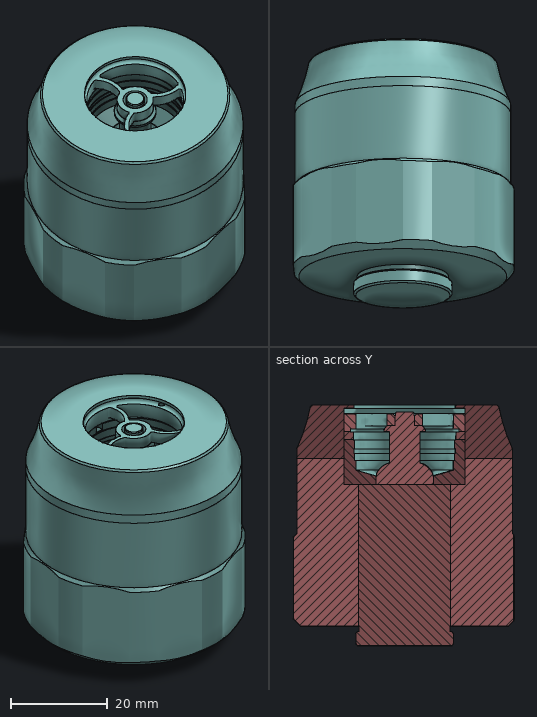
import cadquery as cq
import math

total_height = 49.8
body_radius = 22.35
bore_radius = 12.45
seat_bottom_z = 33.4
cap_bottom_z = 38.8
seat_top_z = 42.6
spacer_top_z = 44.25
spider_top_z = 48.05

nut_radius = 23.05
nut_bottom_z = 4.05
nut_top_z = 23.2
nut_bottom_chamfer = 1.55
nut_top_chamfer = nut_radius - body_radius
flat_count = 9
first_flat_angle = 18.0
flat_half_angle = 12.5

stem_radius = 9.45
flange_radius = 10.15
flange_height = 3.0
flange_chamfer = 0.4

band_top_z = 40.8
taper_mid_radius = 20.7
taper_mid_z = 45.15
cap_top_radius = 19.6
cap_edge_chamfer = 0.4
lip_radius = 10.45
lip_height = 0.7

window_radius = 10.0
spider_relief_radius = 11.2
spider_relief_height = 0.6
spoke_height = 2.55
spoke_count = 3
spoke_width = 0.9
spoke_arc_center = (-3.8, 7.45)
spoke_arc_radius = 6.1
spoke_start_angle = -42.0
spoke_end_angle = 28.0
window_corner_radius = 0.5
hub_corner_radius = 0.3
edge_tolerance = 0.005
hub_radius = 3.75
hub_countersink_radius = 2.5
hub_countersink_angle = 90.0
dimple_radius = 0.6
dimple_center_radius = 11.35
dimple_angle = 22.5
dimple_depth = 0.75

spacer_inner_radius = 10.55
notch_width = 1.7
notch_height = 1.4
notch_depth = 1.3
notch_angle = 95.0

seat_wall_radius = 10.3
groove_bottom_z = 39.8
groove_top_z = 40.75
groove_depth = 0.15
step_z = 38.35
funnel_rim_radius = 10.05
funnel_rim_z = 36.35
throat_z = 35.15

poppet_radius = 5.9
dome_base_z = 35.55
dome_mid_radius = 4.9
dome_mid_z = 36.95
neck_radius = 3.25
neck_bottom_z = 37.85
collar_radius = 4.35
collar_bottom_z = 44.25
collar_rim_z = 44.75
collar_top_radius = 3.8
collar_top_z = spider_top_z - spoke_height
pin_radius = 1.95
pin_top_z = 48.4
pin_chamfer = 0.2


def cylinder(radius, bottom_z, top_z):
    return cq.Workplane("XY").workplane(offset=bottom_z).circle(radius).extrude(top_z - bottom_z)


def revolve_profile(profile):
    """Turn a closed radius/height profile about the Z axis."""
    return profile.close().revolve(360, (0, 0, 0), (0, 1, 0))


def make_sleeve():
    """Round sleeve with a chamfered nine-sided nut at its foot and a stepped bore."""
    nut = cylinder(nut_radius, nut_bottom_z, nut_top_z)
    flat_distance = nut_radius * math.cos(math.radians(flat_half_angle))
    flats = (
        cq.Workplane("XY", origin=(0, 0, nut_bottom_z))
        .polarArray(flat_distance + nut_radius / 2, first_flat_angle, 360, flat_count)
        .rect(nut_radius, nut_radius)
        .extrude(nut_top_z - nut_bottom_z)
    )
    nut = nut.cut(flats)
    chamfer_envelope = revolve_profile(
        cq.Workplane("XZ")
        .moveTo(0, nut_bottom_z)
        .lineTo(nut_radius - nut_bottom_chamfer, nut_bottom_z)
        .lineTo(nut_radius, nut_bottom_z + nut_bottom_chamfer)
        .lineTo(nut_radius, nut_top_z - nut_top_chamfer)
        .lineTo(nut_radius - nut_top_chamfer, nut_top_z)
        .lineTo(0, nut_top_z)
    )
    sleeve = nut.intersect(chamfer_envelope).union(cylinder(body_radius, nut_top_z, cap_bottom_z))
    sleeve = sleeve.cut(cylinder(bore_radius, seat_bottom_z, cap_bottom_z))
    return sleeve.cut(cylinder(stem_radius, nut_bottom_z, seat_bottom_z))


def make_stem():
    """Flanged stem that fills the lower bore of the sleeve."""
    flange = cylinder(flange_radius, 0, flange_height).edges().chamfer(flange_chamfer)
    return flange.union(cylinder(stem_radius, flange_height, seat_bottom_z))


def make_cap():
    """Tapered cap with a hollow flare and a thin lip over the spider."""
    lip_bottom_z = total_height - lip_height
    return revolve_profile(
        cq.Workplane("XZ")
        .moveTo(bore_radius, cap_bottom_z)
        .lineTo(body_radius, cap_bottom_z)
        .lineTo(body_radius, band_top_z)
        .threePointArc(
            (taper_mid_radius, taper_mid_z), (cap_top_radius, total_height - cap_edge_chamfer)
        )
        .lineTo(cap_top_radius - cap_edge_chamfer, total_height)
        .lineTo(lip_radius, total_height)
        .lineTo(lip_radius, lip_bottom_z)
        .lineTo(bore_radius, lip_bottom_z)
    )


def spoke_point(radius, angle):
    center_x, center_y = spoke_arc_center
    return (
        center_x + radius * math.cos(math.radians(angle)),
        center_y + radius * math.sin(math.radians(angle)),
    )


def make_spoke(bottom_z, top_z):
    """One curved spoke, from inside the hub to inside the ring."""
    inner = spoke_arc_radius - spoke_width / 2
    outer = spoke_arc_radius + spoke_width / 2
    middle_angle = (spoke_start_angle + spoke_end_angle) / 2
    return (
        cq.Workplane("XY", origin=(0, 0, bottom_z))
        .moveTo(*spoke_point(inner, spoke_start_angle))
        .lineTo(*spoke_point(outer, spoke_start_angle))
        .threePointArc(spoke_point(outer, middle_angle), spoke_point(outer, spoke_end_angle))
        .lineTo(*spoke_point(inner, spoke_end_angle))
        .threePointArc(spoke_point(inner, middle_angle), spoke_point(inner, spoke_start_angle))
        .close()
        .extrude(top_z - bottom_z)
    )


def round_window_corners(windows, corner_distance, corner_radius):
    """Round the upright edges that lie at the given distance from the axis."""
    corners = windows.edges("|Z").filter(
        lambda edge: abs(math.hypot(edge.Center().x, edge.Center().y) - corner_distance)
        < edge_tolerance
    )
    return corners.fillet(corner_radius)


def make_spider():
    """Ring and hub joined by curved spokes; the hub guides the pin of the poppet."""
    spoke_bottom_z = spider_top_z - spoke_height
    windows = cylinder(window_radius, spoke_bottom_z, spider_top_z)
    windows = windows.cut(cylinder(hub_radius, spoke_bottom_z, spider_top_z))
    spoke = make_spoke(spoke_bottom_z, spider_top_z)
    for index in range(spoke_count):
        windows = windows.cut(spoke.rotate((0, 0, 0), (0, 0, 1), index * 360 / spoke_count))
    windows = round_window_corners(windows, window_radius, window_corner_radius)
    windows = round_window_corners(windows, hub_radius, hub_corner_radius)

    spider = cylinder(bore_radius, spacer_top_z, spider_top_z).cut(windows)
    spider = spider.cut(cylinder(window_radius, spacer_top_z, spoke_bottom_z))
    relief_top_z = spacer_top_z + spider_relief_height
    spider = spider.cut(cylinder(spider_relief_radius, spacer_top_z, relief_top_z))
    spider = (
        spider.faces(">Z").workplane(origin=(0, 0, spider_top_z))
        .cskHole(2 * pin_radius, 2 * hub_countersink_radius, hub_countersink_angle)
    )
    dimple = cylinder(dimple_radius, spider_top_z - dimple_depth, spider_top_z)
    dimple = dimple.translate((dimple_center_radius, 0, 0)).rotate((0, 0, 0), (0, 0, 1), dimple_angle)
    return spider.cut(dimple)


def make_spacer():
    """Plain ring between the seat and the spider, with one notch in its top."""
    ring = cylinder(bore_radius, seat_top_z, spacer_top_z)
    ring = ring.cut(cylinder(spacer_inner_radius, seat_top_z, spacer_top_z))
    notch_length = spacer_inner_radius + notch_depth
    notch = (
        cq.Workplane("XY", origin=(0, 0, spacer_top_z - notch_height))
        .center(notch_length / 2, 0)
        .rect(notch_length, notch_width)
        .extrude(notch_height)
        .rotate((0, 0, 0), (0, 0, 1), notch_angle)
    )
    return ring.cut(notch)


def make_seat():
    """Cup with a grooved wall and a funnel that leads to the throat."""
    groove_radius = seat_wall_radius + groove_depth
    return revolve_profile(
        cq.Workplane("XZ")
        .moveTo(poppet_radius, seat_bottom_z)
        .lineTo(bore_radius, seat_bottom_z)
        .lineTo(bore_radius, seat_top_z)
        .lineTo(seat_wall_radius, seat_top_z)
        .lineTo(seat_wall_radius, groove_top_z)
        .lineTo(groove_radius, groove_top_z)
        .lineTo(groove_radius, groove_bottom_z)
        .lineTo(seat_wall_radius, groove_bottom_z)
        .lineTo(seat_wall_radius, step_z)
        .lineTo(funnel_rim_radius, step_z)
        .lineTo(funnel_rim_radius, funnel_rim_z)
        .lineTo(poppet_radius, throat_z)
    )


def make_poppet():
    """Domed plug in the throat, with a neck, a collar and a guide pin."""
    return revolve_profile(
        cq.Workplane("XZ")
        .moveTo(0, seat_bottom_z)
        .lineTo(poppet_radius, seat_bottom_z)
        .lineTo(poppet_radius, dome_base_z)
        .threePointArc((dome_mid_radius, dome_mid_z), (neck_radius, neck_bottom_z))
        .lineTo(neck_radius, collar_bottom_z)
        .lineTo(collar_radius, collar_bottom_z)
        .lineTo(collar_radius, collar_rim_z)
        .lineTo(collar_top_radius, collar_top_z)
        .lineTo(pin_radius, collar_top_z)
        .lineTo(pin_radius, pin_top_z - pin_chamfer)
        .lineTo(pin_radius - pin_chamfer, pin_top_z)
        .lineTo(0, pin_top_z)
    )


sleeve = make_sleeve()
stem = make_stem()
cap = make_cap()
spider = make_spider()
spacer = make_spacer()
seat = make_seat()
poppet = make_poppet()

result = cq.Compound.makeCompound(
    [body.val() for body in (sleeve, stem, cap, spider, spacer, seat, poppet)]
)